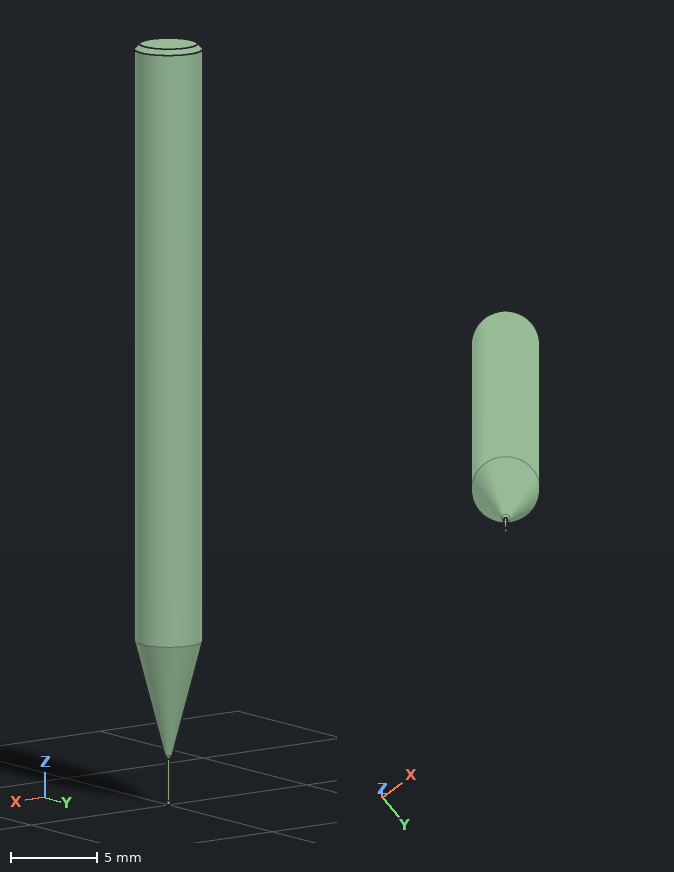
import cadquery as cq

total_length = 45.0
shank_diameter = 4.0
shank_chamfer = 0.3

cutter_length = 0.25
relief_length = 0.15
neck_top = 2.7
collar_bottom = 2.95
taper_top = 9.7

cutter_diameter = 0.22
neck_diameter = 0.19
collar_diameter = 0.5

shank_radius = shank_diameter / 2
cutter_radius = cutter_diameter / 2
neck_radius = neck_diameter / 2
collar_radius = collar_diameter / 2


def make_holder():
    """Chamfered shank, long taper and thin neck, turned as one body."""
    profile = [
        (0, cutter_length),
        (cutter_radius, cutter_length),
        (neck_radius, cutter_length + relief_length),
        (neck_radius, neck_top),
        (collar_radius, collar_bottom),
        (shank_radius, taper_top),
        (shank_radius, total_length - shank_chamfer),
        (shank_radius - shank_chamfer, total_length),
        (0, total_length),
    ]
    return cq.Workplane("XZ").polyline(profile).close().revolve(360, (0, 0, 0), (0, 1, 0))


def make_cutter():
    """Plain cylindrical cutting tip that meets the end of the neck."""
    return cq.Workplane("XY").circle(cutter_radius).extrude(cutter_length)


holder = make_holder()
cutter = make_cutter()

result = cq.Compound.makeCompound([holder.val(), cutter.val()])